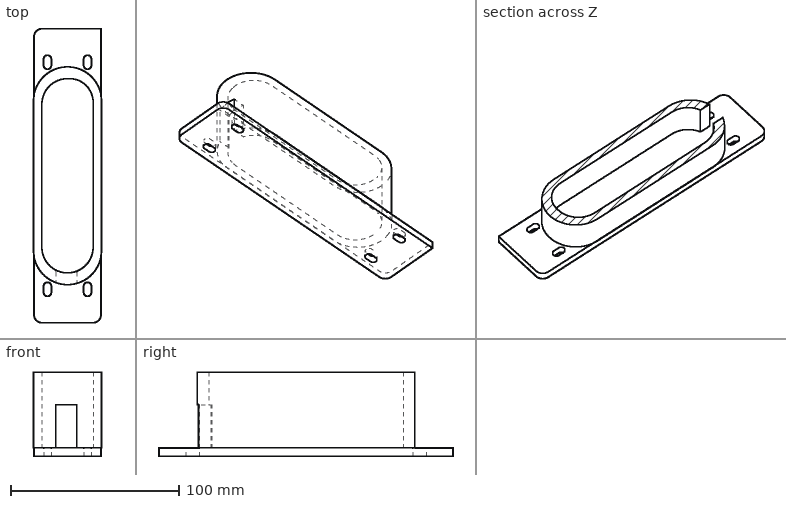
import cadquery as cq

plate_width = 40.0
plate_length = 175.0
plate_thickness = 5.0
plate_corner_radius = 5.0

housing_width = 40.5
housing_length = 129.5
total_height = 50.0
housing_height = total_height - plate_thickness

side_wall = 5.0
end_wall = 7.0
cavity_width = housing_width - 2 * side_wall
cavity_length = housing_length - 2 * end_wall
cavity_radius = cavity_width / 2
cavity_flat = 1.2

opening_width = 12.7
opening_height = 25.7
opening_center_x = -0.75

mount_slot_width = 4.5
mount_slot_length = 8.2
mount_slot_spacing_x = 23.8
mount_slot_spacing_y = 135.0


def make_plate():
    """Flat plate with three rounded corners; the (+X, +Y) corner is left square."""
    plate = cq.Workplane("XY").rect(plate_width, plate_length).extrude(plate_thickness)
    return plate.edges("|Z and (<X or <Y)").fillet(plate_corner_radius)


def make_housing():
    """Solid round-ended block on top of the plate."""
    top_of_plate = cq.Workplane("XY", origin=(0, 0, plate_thickness))
    return top_of_plate.slot2D(housing_length, housing_width, 90).extrude(housing_height)


def make_cavity():
    """Cavity with a semicircular -Y end and a +Y end of two arcs joined by a short flat."""
    half_width = cavity_width / 2
    half_length = cavity_length / 2
    small_radius = cavity_radius - cavity_flat
    return (
        cq.Workplane("XY", origin=(0, 0, plate_thickness))
        .moveTo(-half_width, -half_length + cavity_radius)
        .radiusArc((half_width, -half_length + cavity_radius), -cavity_radius)
        .lineTo(half_width, half_length - small_radius)
        .radiusArc((cavity_flat, half_length), -small_radius)
        .lineTo(0, half_length)
        .radiusArc((-half_width, half_length - cavity_radius), -cavity_radius)
        .close()
        .extrude(housing_height)
    )


def make_cable_opening():
    """Box from the middle of the cavity out through the -Y end wall."""
    opening_reach = housing_length / 2
    return (
        cq.Workplane("XY", origin=(opening_center_x, -opening_reach / 2, plate_thickness))
        .rect(opening_width, opening_reach)
        .extrude(opening_height)
    )


def make_mounting_slots():
    """Four slots, two beyond each end of the housing."""
    return (
        cq.Workplane("XY")
        .rarray(mount_slot_spacing_x, mount_slot_spacing_y, 2, 2)
        .slot2D(mount_slot_length, mount_slot_width, 90)
        .extrude(plate_thickness)
    )


result = (
    make_plate()
    .cut(make_mounting_slots())
    .union(make_housing())
    .cut(make_cavity())
    .cut(make_cable_opening())
)